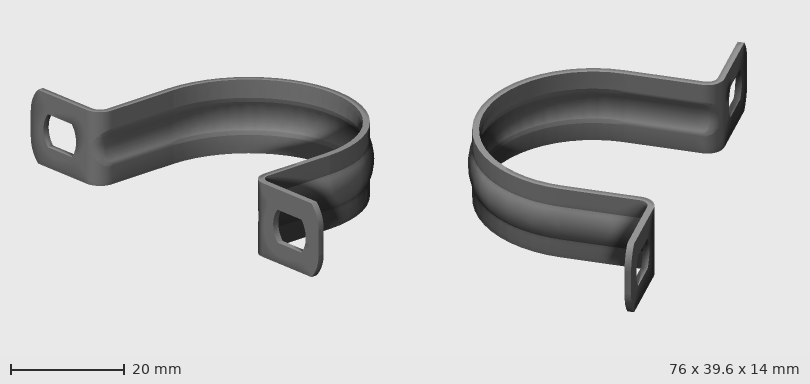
import cadquery as cq
import math

overall_length = 76.0
strap_width = 14.0
thickness = 1.2
saddle_radius = 20.1
saddle_center_y = 17.55
bend_radius = 3.1
outer_radius = saddle_radius + thickness

bead_height = 0.75
bead_half_width = 3.35
bead_radius = (bead_half_width**2 + bead_height**2) / (2 * bead_height)
bead_axis_x = outer_radius + bead_height - bead_radius
groove_edge_radius = 2.0
bead_base_x = outer_radius - thickness / 4
groove_base_x = saddle_radius - thickness / 4
pick_margin = 0.1
lip_limit_z = bead_half_width - pick_margin

tip_flat_half_width = 2.4
tip_corner_inset = 1.9
hole_center_x = 30.3
hole_length = 8.6
hole_height = 6.2
hole_flat_length = 6.3

half_length = overall_length / 2
half_width = strap_width / 2


def make_saddle_and_legs(radius):
    """Solid arch of the given outside radius, standing on y = 0."""
    arch = cq.Workplane("XY").moveTo(-radius, 0).lineTo(-radius, saddle_center_y)
    arch = arch.threePointArc((0, saddle_center_y + radius), (radius, saddle_center_y))
    return arch.lineTo(radius, 0).close().extrude(half_width, both=True)


def make_bend_and_foot():
    """Right-hand foot with its bend, ending on a short piece of leg."""
    bend_x = saddle_radius + bend_radius
    inner_radius = bend_radius - thickness
    diagonal = math.sqrt(0.5)
    profile = (
        cq.Workplane("XY")
        .moveTo(half_length, 0)
        .lineTo(bend_x, 0)
        .threePointArc(
            (bend_x - bend_radius * diagonal, bend_radius * (1 - diagonal)),
            (saddle_radius, bend_radius),
        )
        .lineTo(outer_radius, bend_radius)
        .threePointArc(
            (bend_x - inner_radius * diagonal, bend_radius - inner_radius * diagonal),
            (bend_x, thickness),
        )
        .lineTo(half_length, thickness)
        .close()
    )
    return profile.extrude(half_width, both=True)


def make_tip_outline():
    """Prism over the strap's front outline, with arcs at the foot corners."""
    corner_x = half_length - tip_corner_inset
    arc_height = half_width - tip_flat_half_width
    tip_radius = (arc_height**2 + tip_corner_inset**2) / (2 * tip_corner_inset)
    half_angle = math.asin(arc_height / tip_radius) / 2
    mid_x = half_length - tip_radius * (1 - math.cos(half_angle))
    mid_z = tip_flat_half_width + tip_radius * math.sin(half_angle)
    outline = (
        cq.Workplane("XZ")
        .moveTo(-corner_x, half_width)
        .lineTo(corner_x, half_width)
        .threePointArc((mid_x, mid_z), (half_length, tip_flat_half_width))
        .lineTo(half_length, -tip_flat_half_width)
        .threePointArc((mid_x, -mid_z), (corner_x, -half_width))
        .lineTo(-corner_x, -half_width)
        .threePointArc((-mid_x, -mid_z), (-half_length, -tip_flat_half_width))
        .lineTo(-half_length, tip_flat_half_width)
        .threePointArc((-mid_x, mid_z), (-corner_x, half_width))
        .close()
    )
    return outline.extrude(-2 * overall_length)


def make_bead_section(section_radius, base_x, y):
    """Circular segment across the right leg at height y, with its chord at base_x."""
    half_chord = math.sqrt(section_radius**2 - (base_x - bead_axis_x) ** 2)
    return (
        cq.Workplane("XZ", origin=(0, y, 0))
        .moveTo(base_x, -half_chord)
        .threePointArc((bead_axis_x + section_radius, 0), (base_x, half_chord))
        .close()
    )


def make_bead(section_radius, base_x, end_y):
    """Bead section carried around the saddle and down both legs to end_y."""
    section = make_bead_section(section_radius, base_x, saddle_center_y)
    leg = section.extrude(saddle_center_y - end_y)
    around = section.toPending().revolve(180, (0, 0, 0), (0, 1, 0))
    return around.union(leg).union(leg.mirror("YZ"))


def make_bead_runout():
    """Right-hand bead end, turned along the bend until its crest is level with the foot."""
    turn_radius = bend_radius - thickness
    turn_axis_x = outer_radius + bead_height + turn_radius
    section = make_bead_section(bead_radius, bead_base_x, bend_radius)
    return section.revolve(90, (turn_axis_x, 0, 0), (turn_axis_x, 1, 0))


def make_hole(center_x):
    """Flat-sided mounting hole with bowed ends."""
    flat = hole_flat_length / 2
    height = hole_height / 2
    outline = (
        cq.Workplane("XZ", origin=(center_x, 0, 0))
        .moveTo(-flat, height)
        .lineTo(flat, height)
        .threePointArc((hole_length / 2, 0), (flat, -height))
        .lineTo(-flat, -height)
        .threePointArc((-hole_length / 2, 0), (-flat, height))
        .close()
    )
    return outline.extrude(thickness, both=True).translate((0, thickness / 2, 0))


foot = make_bend_and_foot()
leg_ends = cq.Workplane("XY").box(2 * overall_length, 2 * bend_radius, 2 * strap_width)
arch = make_saddle_and_legs(outer_radius).cut(make_saddle_and_legs(saddle_radius)).cut(leg_ends)
strap = arch.union(foot).union(foot.mirror("YZ")).intersect(make_tip_outline())

bead = make_bead(bead_radius, bead_base_x, bend_radius)
runout = make_bead_runout()
groove = make_bead(bead_radius - thickness, groove_base_x, 0)
strap = strap.union(bead).union(runout).union(runout.mirror("YZ")).cut(groove)

lip_zone = cq.selectors.BoxSelector(
    (-outer_radius, thickness, -lip_limit_z),
    (outer_radius, saddle_center_y + saddle_radius, lip_limit_z),
)
seam_zone = cq.selectors.BoxSelector(
    (-outer_radius, saddle_center_y - pick_margin, -pick_margin),
    (outer_radius, saddle_center_y + pick_margin, pick_margin),
)
strap = strap.edges(lip_zone - seam_zone).fillet(groove_edge_radius)

for side in (-1, 1):
    strap = strap.cut(make_hole(side * hole_center_x))

result = strap